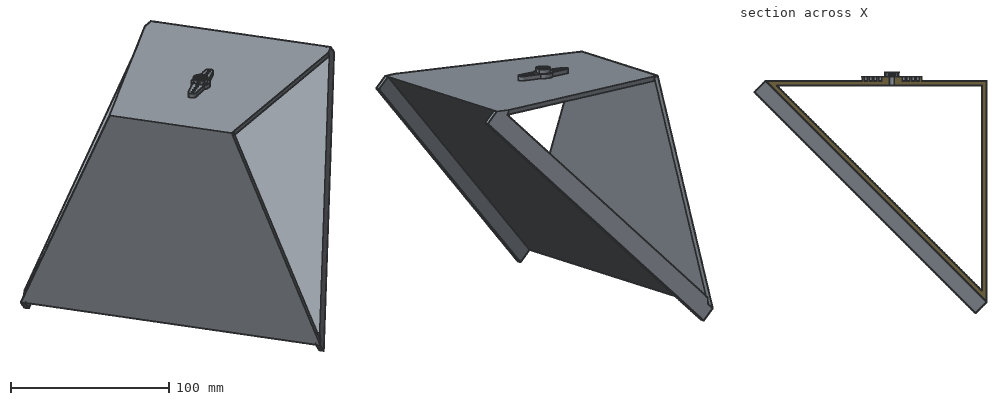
import cadquery as cq
import math

SIDE = 140.0
PLATE = 3.0
LOW_HALF = 100.0
TOP_BACK_HALF = 62.5
TOP_FRONT_HALF = 40.8
SLOPE_TOP_HALF = 60.0
SLOPE_LENGTH = SIDE * math.sqrt(2)

RAIL_DEPTH = 10.0
RAIL_WIDTH = 3.0

HORN_Y = 60.0
HORN_THICKNESS = 2.8
HORN_REACH = 19.0
ARM_TIP_RADIUS = 2.5
ARM_ROOT_HALF = 4.5
HORN_HUB_RADIUS = 6.0
BOSS_RADIUS = 4.5
BOSS_HEIGHT = 5.5
SPLINE_TEETH = 24
SPLINE_TIP_RADIUS = 2.5
SPLINE_ROOT_RADIUS = 3.8
SPLINE_DEPTH = BOSS_HEIGHT - HORN_THICKNESS
SCREW_HOLE_RADIUS = 1.5
ARM_HOLE_RADIUS = 0.8
ARM_HOLE_COUNT = 4
ARM_HOLE_FIRST = 7.5
ARM_HOLE_PITCH = 3.0


def sloping_plane():
    """Underside of the sloping plate: local Y runs up the slope, the normal faces front and up."""
    return cq.Plane(origin=(0, 0, -SIDE), xDir=(1, 0, 0), normal=(0, -1, 1))


def trapezoid(plane, low_half, high_half, height):
    corners = [(-low_half, 0), (low_half, 0), (high_half, height), (-high_half, height)]
    return cq.Workplane(plane).polyline(corners).close()


def slope_prism(thickness):
    """Outline of the sloping plate, raised from its underside."""
    return trapezoid(sloping_plane(), LOW_HALF, SLOPE_TOP_HALF, SLOPE_LENGTH).extrude(thickness)


def make_housing():
    top = trapezoid(cq.Plane.XY(), TOP_FRONT_HALF, TOP_BACK_HALF, SIDE).extrude(-PLATE)
    front_plane = cq.Plane(origin=(0, 0, -SIDE), xDir=(1, 0, 0), normal=(0, -1, 0))
    front = trapezoid(front_plane, LOW_HALF, TOP_FRONT_HALF, SIDE).extrude(-PLATE)
    walls = top.union(front).intersect(slope_prism(SIDE))

    behind_front = (
        cq.Workplane("XY")
        .box(2 * LOW_HALF, SIDE, SIDE, centered=(True, False, False))
        .translate((0, PLATE, -SIDE))
    )
    return walls.union(slope_prism(PLATE).intersect(behind_front))


def make_rails():
    slant = math.atan2(LOW_HALF - SLOPE_TOP_HALF, SLOPE_LENGTH)
    inset = RAIL_WIDTH / math.cos(slant)
    gap = trapezoid(sloping_plane(), LOW_HALF - inset, SLOPE_TOP_HALF - inset, SLOPE_LENGTH)
    return slope_prism(-RAIL_DEPTH).cut(gap.extrude(-RAIL_DEPTH))


def make_spline_socket():
    """Toothed pocket sunk into the top of the boss."""
    half_pitch = math.pi / SPLINE_TEETH
    outline = []
    for i in range(2 * SPLINE_TEETH):
        radius = SPLINE_TIP_RADIUS if i % 2 else SPLINE_ROOT_RADIUS
        angle = i * half_pitch
        outline.append((radius * math.cos(angle), radius * math.sin(angle)))
    top = cq.Workplane("XY").workplane(offset=BOSS_HEIGHT)
    return top.polyline(outline).close().extrude(-SPLINE_DEPTH)


def make_horn():
    tip_center = HORN_REACH - ARM_TIP_RADIUS
    arms = (
        cq.Workplane("XY")
        .moveTo(ARM_ROOT_HALF, 0)
        .lineTo(ARM_TIP_RADIUS, tip_center)
        .threePointArc((0, HORN_REACH), (-ARM_TIP_RADIUS, tip_center))
        .lineTo(-ARM_ROOT_HALF, 0)
        .lineTo(-ARM_TIP_RADIUS, -tip_center)
        .threePointArc((0, -HORN_REACH), (ARM_TIP_RADIUS, -tip_center))
        .close()
        .extrude(HORN_THICKNESS)
    )
    hub = cq.Workplane("XY").circle(HORN_HUB_RADIUS).extrude(HORN_THICKNESS)
    boss = cq.Workplane("XY").circle(BOSS_RADIUS).extrude(BOSS_HEIGHT)
    offsets = [ARM_HOLE_FIRST + i * ARM_HOLE_PITCH for i in range(ARM_HOLE_COUNT)]
    hole_points = [(0, side * offset) for side in (-1, 1) for offset in offsets]
    arm_holes = cq.Workplane("XY").pushPoints(hole_points).circle(ARM_HOLE_RADIUS).extrude(HORN_THICKNESS)
    horn = arms.union(hub).union(boss).cut(make_spline_socket()).cut(arm_holes)
    return horn.translate((0, HORN_Y, 0))


def make_screw_hole():
    """Screw hole through the horn and the top plate."""
    hole = cq.Workplane("XY").circle(SCREW_HOLE_RADIUS).extrude(PLATE + BOSS_HEIGHT)
    return hole.translate((0, HORN_Y, -PLATE))


result = make_housing().union(make_rails()).union(make_horn()).cut(make_screw_hole())